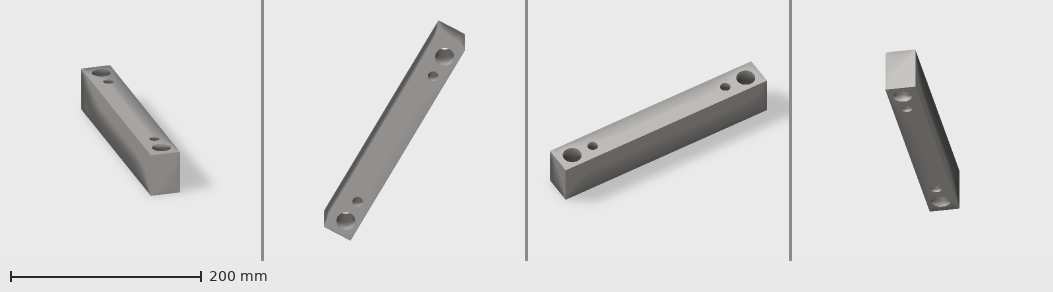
import cadquery as cq

length = 246.0
width = 32.0
height = 46.0

large_diameter = 20.0
large_spacing = 212.0
small_diameter = 11.0
small_spacing = 162.0
hole_row_offset = 1.0


def drill_pair(body, diameter, spacing):
    """Drill two through holes, placed symmetrically along X."""
    centres = [(side * spacing / 2, hole_row_offset) for side in (-1, 1)]
    return body.faces(">Z").workplane(origin=(0, 0, 0)).pushPoints(centres).hole(diameter)


bar = cq.Workplane("XY").box(length, width, height)
bar = drill_pair(bar, large_diameter, large_spacing)
result = drill_pair(bar, small_diameter, small_spacing)